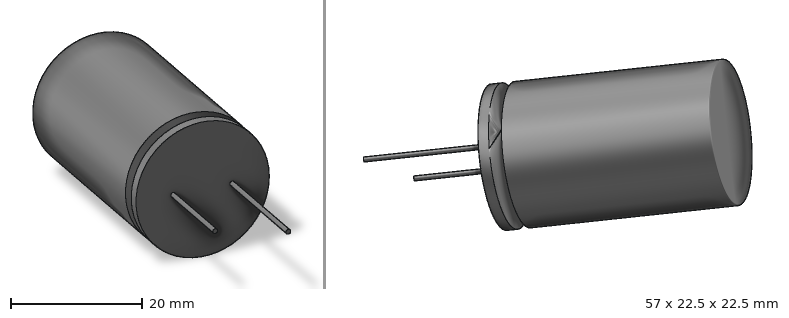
import cadquery as cq

total_length = 57.0
can_length = 37.0
can_diameter = 22.5
end_fillet = 0.2
groove_center = 34.25
groove_radius = 1.0
lead_diameter = 0.8
lead_pitch = 10.0
short_lead_length = 15.0

can_radius = can_diameter / 2
long_lead_length = total_length - can_length


def make_can():
    """Solid can with a rounded closed end and a half-round crimp groove."""
    can = cq.Workplane("YZ").circle(can_radius).extrude(can_length)
    can = can.faces("<X").edges().fillet(end_fillet)
    groove = (
        cq.Workplane("XY")
        .center(groove_center, can_radius)
        .circle(groove_radius)
        .revolve(360, (0, -can_radius, 0), (1, -can_radius, 0))
    )
    return can.cut(groove)


def make_lead(y_position, length):
    """Round wire lead standing on the flat end face of the can."""
    return (
        cq.Workplane("YZ", origin=(can_length, y_position, 0))
        .circle(lead_diameter / 2)
        .extrude(length)
    )


can = make_can()

leads = []
for side, length in ((1, long_lead_length), (-1, short_lead_length)):
    leads.append(make_lead(side * lead_pitch / 2, length).val())

result = cq.Compound.makeCompound([can.val(), *leads])